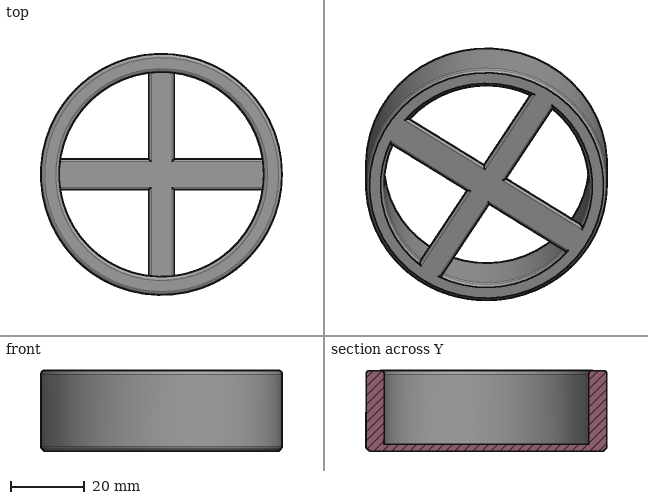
import cadquery as cq

outer_diameter = 65.5
bore_diameter = 55.5
ring_height = 22.0
ring_edge_radius = 1.0
base_chamfer = 1.0

x_spoke_width = 8.4
y_spoke_width = 7.0
spoke_thickness = 2.0
spoke_edge_radius = 0.7


def make_ring():
    """Tube with a rounded rim, chamfered at the base and blended into both walls."""
    tube = (
        cq.Workplane("XY")
        .circle(outer_diameter / 2)
        .circle(bore_diameter / 2)
        .extrude(ring_height)
    )
    tube = tube.faces("<Z").chamfer(base_chamfer)
    return tube.faces("%CYLINDER").edges("%CIRCLE").fillet(ring_edge_radius)


def make_cross():
    """Two crossing spokes with rounded long edges, ending inside the ring wall."""
    spoke_length = (outer_diameter + bore_diameter) / 2
    x_spoke = cq.Workplane("XY").box(
        spoke_length, x_spoke_width, spoke_thickness, centered=(True, True, False)
    )
    y_spoke = cq.Workplane("XY").box(
        y_spoke_width, spoke_length, spoke_thickness, centered=(True, True, False)
    )
    return x_spoke.union(y_spoke).faces("<Z or >Z").edges().fillet(spoke_edge_radius)


result = make_ring().union(make_cross())